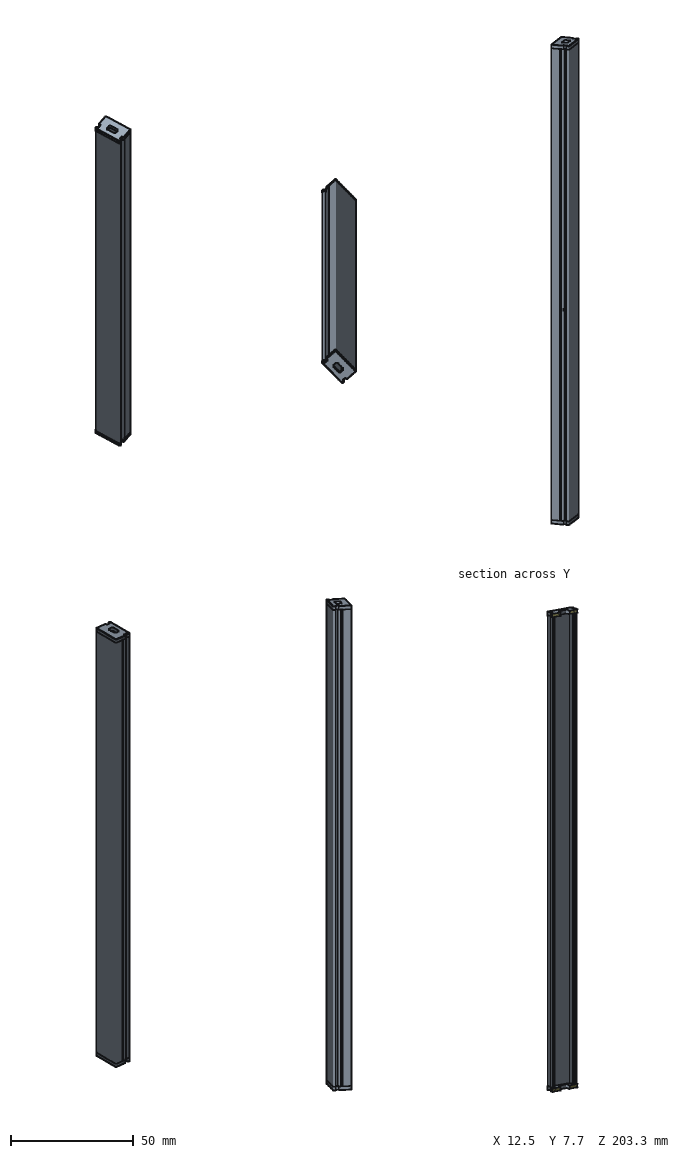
import cadquery as cq

LENGTH = 203.3
WIDTH = 12.5
DEPTH = 7.7
HALF_WIDTH = WIDTH / 2
BACK = DEPTH / 2
FRONT = -DEPTH / 2

CAP_THICKNESS = 1.6
CAP_RIM_CHAMFER = 0.16
CAP_BACK_ROUND = 0.18
CAP_SIDE_ROUND = 0.37
NOTCH_BACK = -1.5
NOTCH_FRONT = -2.6
NOTCH_DEPTH = 0.8
HOLE_WIDTH = 4.3
HOLE_DEPTH = 2.5
HOLE_Y = -0.5
HOLE_ROUND = 0.6

BODY_LENGTH = LENGTH - 2 * CAP_THICKNESS
HOUSING_FRONT = -1.6
HOUSING_ROUND = 0.18
WALL = 1.2
GROOVE_BACK = 0.2
GROOVE_FRONT = -0.5
GROOVE_DEPTH = 0.5

COVER_INSET = 0.25
COVER_HALF_WIDTH = HALF_WIDTH - COVER_INSET
COVER_BACK = NOTCH_FRONT
COVER_ROUND = 0.18
LEG_THICKNESS = 0.8
LEG_BACK = -1.0

INNER_HALF_WIDTH = HALF_WIDTH - WALL
EDGE_MARGIN = 0.02


def mirrored_prism(right_side, height):
    """Extrude along Z the closed outline whose +X half is given as (x, y) points."""
    left_side = [(-x, y) for x, y in reversed(right_side)]
    return cq.Workplane("XY").polyline(right_side + left_side).close().extrude(height)


def round_edges(body, half_width, y, radius):
    """Round the two edges along Z at x = +-half_width and the given y."""
    for x in (-half_width, half_width):
        corner = cq.selectors.BoxSelector(
            (x - EDGE_MARGIN, y - EDGE_MARGIN, 0),
            (x + EDGE_MARGIN, y + EDGE_MARGIN, LENGTH),
        )
        body = body.edges(corner).fillet(radius)
    return body


def make_cap():
    """The lower end cap, its outer face at z = 0."""
    notch_floor = HALF_WIDTH - NOTCH_DEPTH
    cap = mirrored_prism(
        [
            (HALF_WIDTH, FRONT),
            (HALF_WIDTH, NOTCH_FRONT),
            (notch_floor, NOTCH_FRONT),
            (notch_floor, NOTCH_BACK),
            (HALF_WIDTH, NOTCH_BACK),
            (HALF_WIDTH, BACK),
        ],
        CAP_THICKNESS,
    )
    for y in (FRONT, NOTCH_FRONT, NOTCH_BACK):
        cap = round_edges(cap, HALF_WIDTH, y, CAP_SIDE_ROUND)
    cap = round_edges(cap, HALF_WIDTH, BACK, CAP_BACK_ROUND)
    cap = cap.faces("<Z").chamfer(CAP_RIM_CHAMFER)

    cable_hole = cq.Workplane("XY").center(0, HOLE_Y).rect(HOLE_WIDTH, HOLE_DEPTH).extrude(CAP_THICKNESS)
    return cap.cut(cable_hole.edges("|Z").fillet(HOLE_ROUND))


def make_housing():
    """The channel between the two caps."""
    groove_floor = HALF_WIDTH - GROOVE_DEPTH
    inner_back = BACK - WALL
    housing = mirrored_prism(
        [
            (INNER_HALF_WIDTH, inner_back),
            (INNER_HALF_WIDTH, HOUSING_FRONT),
            (HALF_WIDTH, HOUSING_FRONT),
            (HALF_WIDTH, GROOVE_FRONT),
            (groove_floor, GROOVE_FRONT),
            (groove_floor, GROOVE_BACK),
            (HALF_WIDTH, GROOVE_BACK),
            (HALF_WIDTH, BACK),
        ],
        BODY_LENGTH,
    )
    for y in (HOUSING_FRONT, GROOVE_FRONT, GROOVE_BACK, BACK):
        housing = round_edges(housing, HALF_WIDTH, y, HOUSING_ROUND)
    return housing.translate((0, 0, CAP_THICKNESS))


def make_cover():
    """The cover plate with its legs, between the two caps."""
    leg_inside = INNER_HALF_WIDTH - LEG_THICKNESS
    cover = mirrored_prism(
        [
            (COVER_HALF_WIDTH, FRONT),
            (COVER_HALF_WIDTH, COVER_BACK),
            (INNER_HALF_WIDTH, COVER_BACK),
            (INNER_HALF_WIDTH, LEG_BACK),
            (leg_inside, LEG_BACK),
            (leg_inside, COVER_BACK),
        ],
        BODY_LENGTH,
    )
    for y in (FRONT, COVER_BACK):
        cover = round_edges(cover, COVER_HALF_WIDTH, y, COVER_ROUND)
    return cover.translate((0, 0, CAP_THICKNESS))


lower_cap = make_cap()
upper_cap = lower_cap.mirror("XY", (0, 0, LENGTH / 2))
caps = [end_cap.val() for end_cap in (lower_cap, upper_cap)]
housing = make_housing()
cover = make_cover()

result = cq.Compound.makeCompound([housing.val(), cover.val(), *caps])